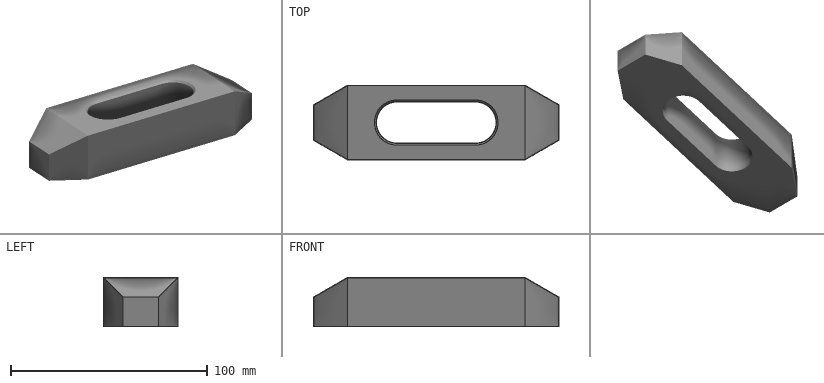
import cadquery as cq
import math

length = 125.0
width = 38.0
height = 25.0

taper_angle = math.radians(30.0)
taper_depth = 10.0
taper_length = taper_depth / math.tan(taper_angle)

slot_length = 61.0
slot_width = 21.0
rim_chamfer = 1.0
rim_angle = 45.0

half_length = length / 2
half_width = width / 2
shoulder_x = half_length - taper_length
tip_half_width = half_width - taper_depth
tip_height = height - taper_depth


def plan_prism():
    """Full-height prism with the sides narrowing towards both ends."""
    outline = [
        (-half_length, -tip_half_width),
        (-shoulder_x, -half_width),
        (shoulder_x, -half_width),
        (half_length, -tip_half_width),
        (half_length, tip_half_width),
        (shoulder_x, half_width),
        (-shoulder_x, half_width),
        (-half_length, tip_half_width),
    ]
    return cq.Workplane("XY").polyline(outline).close().extrude(height)


def side_prism():
    """Full-width prism with the top sloping down to both ends."""
    outline = [
        (-half_length, 0),
        (half_length, 0),
        (half_length, tip_height),
        (shoulder_x, height),
        (-shoulder_x, height),
        (-half_length, tip_height),
    ]
    return cq.Workplane("XZ").polyline(outline).close().extrude(half_width, both=True)


def slot_cutter():
    """Through slot with a rim that widens towards the top face."""
    slot = cq.Workplane("XY").slot2D(slot_length, slot_width).extrude(height)
    rim = (
        cq.Workplane("XY", origin=(0, 0, height))
        .slot2D(slot_length + 2 * rim_chamfer, slot_width + 2 * rim_chamfer)
        .extrude(-rim_chamfer, taper=rim_angle)
    )
    return slot.union(rim)


body = plan_prism().intersect(side_prism())
result = body.cut(slot_cutter())